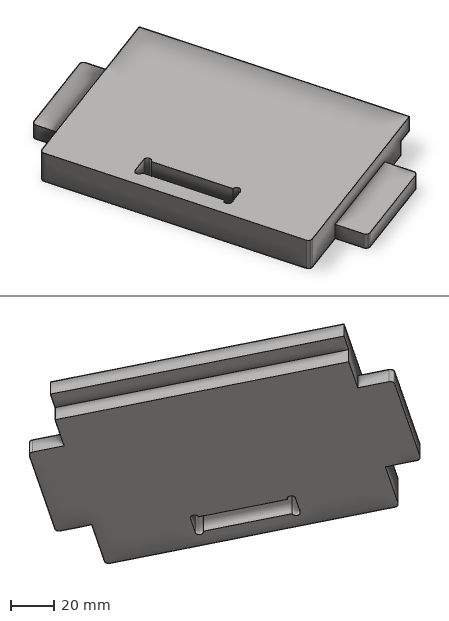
import cadquery as cq

overall_length = 174.0
body_length = 139.9
body_width = 100.0
body_height = 17.0
corner_radius = 2.1

tab_width = body_width / 2
tab_height = body_height / 2

step_depth = 8.5
step_height = body_height / 2

slot_length = 50.0
slot_width = 9.0
slot_center_y = 12.7 - body_width / 2
relief_width = 3.8
relief_span = 12.4


def make_body():
    """Plate with rounded front corners and a step under its rear edge."""
    plate = cq.Workplane("XY").box(body_length, body_width, body_height, centered=(True, True, False))
    plate = plate.edges("|Z and <Y").fillet(corner_radius)
    step = (
        cq.Workplane("XY")
        .box(body_length, step_depth, step_height, centered=(True, False, False))
        .translate((0, body_width / 2 - step_depth, 0))
    )
    return plate.cut(step)


def make_tabs():
    """Low bar through the body whose rounded ends form the two side tabs."""
    bar = cq.Workplane("XY").box(overall_length, tab_width, tab_height, centered=(True, True, False))
    return bar.edges("|Z").fillet(corner_radius)


def make_slot():
    """Rectangular slot crossed at both ends by round-ended reliefs."""
    relief_offset = (slot_length - relief_width) / 2
    slot = cq.Workplane("XY").rect(2 * relief_offset, slot_width).extrude(body_height)
    reliefs = (
        cq.Workplane("XY")
        .pushPoints([(-relief_offset, 0), (relief_offset, 0)])
        .slot2D(relief_span, relief_width, 90)
        .extrude(body_height)
    )
    return slot.union(reliefs).translate((0, slot_center_y, 0))


result = make_body().union(make_tabs()).cut(make_slot())